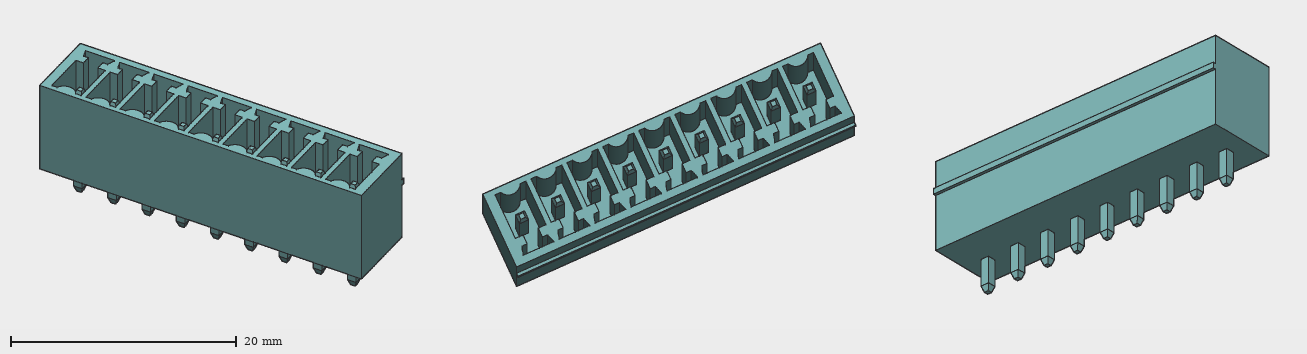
import cadquery as cq

housing_length = 32.9
housing_depth = 7.25
housing_height = 9.2

contact_count = 9
contact_span = 28.0
contact_pitch = contact_span / (contact_count - 1)
first_contact_x = 2.45
contact_y = 3.0

pocket_width = 3.0
pocket_front_y = 0.53
pocket_back_y = 6.5
neck_width = 1.48
neck_front_y = 4.85
neck_back_y = 5.72
dovetail_inset = 0.25
pocket_floor_z = 1.0

front_rib_width = 1.9
front_rib_rise = 0.6

pin_size = 0.9
pin_tip_size = 0.45
pin_tip_length = 0.63
pin_below = 3.4
pin_top_z = 7.75

ledge_projection = 0.3
ledge_height = 0.6
ledge_bottom_z = 5.7


def make_housing():
    block = cq.Workplane("XY").box(housing_length, housing_depth, housing_height, centered=False)
    ledge = cq.Workplane("XY").box(housing_length, ledge_projection, ledge_height, centered=False)
    return block.union(ledge.translate((0, housing_depth, ledge_bottom_z)))


def make_pocket():
    """Keyhole-shaped pocket volume with a dovetail mouth at the back, contact at X = 0."""
    half_width = pocket_width / 2
    half_neck = neck_width / 2
    half_dovetail = half_width - dovetail_inset
    half_rib = front_rib_width / 2
    return (
        cq.Workplane("XY", origin=(0, 0, pocket_floor_z))
        .moveTo(half_rib, pocket_front_y)
        .lineTo(half_width, pocket_front_y)
        .lineTo(half_width, neck_front_y)
        .lineTo(half_neck, neck_front_y)
        .lineTo(half_neck, neck_back_y)
        .lineTo(half_dovetail, neck_back_y)
        .lineTo(half_width, pocket_back_y)
        .lineTo(-half_width, pocket_back_y)
        .lineTo(-half_dovetail, neck_back_y)
        .lineTo(-half_neck, neck_back_y)
        .lineTo(-half_neck, neck_front_y)
        .lineTo(-half_width, neck_front_y)
        .lineTo(-half_width, pocket_front_y)
        .lineTo(-half_rib, pocket_front_y)
        .threePointArc((0, pocket_front_y + front_rib_rise), (half_rib, pocket_front_y))
        .close()
        .extrude(housing_height - pocket_floor_z)
    )


def make_pin():
    """Square pin through the pocket floor, contact axis at X = 0."""
    shank_length = pin_below + pin_top_z - 2 * pin_tip_length
    shank = cq.Workplane("XY").rect(pin_size, pin_size).extrude(shank_length)
    upper_tip = (
        cq.Workplane("XY", origin=(0, 0, shank_length))
        .rect(pin_size, pin_size)
        .workplane(offset=pin_tip_length)
        .rect(pin_tip_size, pin_tip_size)
        .loft()
    )
    lower_tip = (
        cq.Workplane("XY")
        .rect(pin_size, pin_size)
        .workplane(offset=-pin_tip_length)
        .rect(pin_tip_size, pin_tip_size)
        .loft()
    )
    pin_body = shank.union(upper_tip).union(lower_tip)
    return pin_body.translate((0, contact_y, pin_tip_length - pin_below))


result = make_housing()
pocket = make_pocket()
pin = make_pin()
for index in range(contact_count):
    contact_position = (first_contact_x + index * contact_pitch, 0, 0)
    result = result.cut(pocket.translate(contact_position))
    result = result.union(pin.translate(contact_position))